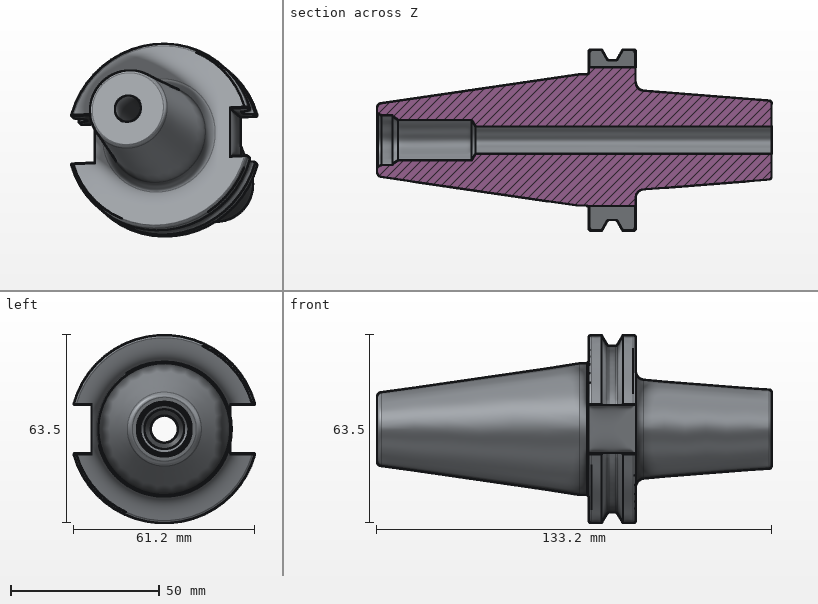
import cadquery as cq
import math

total_length = 133.2
gauge_plane = 68.4
flange_back = 87.4
flange_width = 16.0
flange_front = flange_back - flange_width

gauge_diameter = 44.5
taper_ratio = 7 / 24
taper_end_diameter = gauge_diameter - taper_ratio * gauge_plane
taper_end_round = 1.7

flange_diameter = 63.5
flange_rim_round = 0.9
flange_root_round = 0.5
groove_centre = 79.4
groove_floor_diameter = 56.4
groove_floor_width = 3.0
groove_corner_round = 0.8
groove_flank_angle = 30.0

slot_width = 16.3
slot_edge_chamfer = 0.4
slot_floor_plus_y = 24.7
slot_floor_minus_y = 22.3

nose_end_diameter = 26.6
nose_angle = 4.5
nose_end_round = 1.0
nose_root_round = 2.8

mouth_diameter = 18.5
mouth_chamfer = 0.4
mouth_depth = 1.6
pilot_diameter = 16.7
pilot_depth = 5.2
lead_in_diameter = 16.3
lead_in_angle = 35.0
drill_diameter = 13.5
drill_depth = 32.0
drill_tip_angle = 59.0
through_diameter = 9.0


def cone_length(large_diameter, small_diameter, half_angle):
    """Axial length of a cone between two diameters, with the angle taken from the axis."""
    return (large_diameter - small_diameter) / 2 / math.tan(math.radians(half_angle))


def revolve_profile(points):
    """Turn a list of (x, radius) points into a solid about the X axis."""
    closed = [(points[0][0], 0)] + points + [(points[-1][0], 0)]
    return cq.Workplane("XY").polyline(closed).close().revolve(360, (0, 0, 0), (1, 0, 0))


def make_taper():
    """Mounting taper with a rounded small end and a short straight collar against the flange."""
    taper = revolve_profile([
        (0, taper_end_diameter / 2),
        (gauge_plane, gauge_diameter / 2),
        (flange_front, gauge_diameter / 2),
    ])
    return taper.faces("<X").edges().fillet(taper_end_round)


def make_flange():
    """Flange with rounded rims and a V groove whose floor corners are rounded."""
    radius = flange_diameter / 2
    floor_radius = groove_floor_diameter / 2
    half_floor = groove_floor_width / 2
    half_mouth = half_floor + (radius - floor_radius) * math.tan(math.radians(groove_flank_angle))
    flange = revolve_profile([
        (flange_front, radius),
        (groove_centre - half_mouth, radius),
        (groove_centre - half_floor, floor_radius),
        (groove_centre + half_floor, floor_radius),
        (groove_centre + half_mouth, radius),
        (flange_back, radius),
    ])
    flange = flange.edges(cq.selectors.RadiusNthSelector(0)).fillet(groove_corner_round)
    return flange.faces("<X or >X").edges().fillet(flange_rim_round)


def make_nose():
    """Slender cone narrowing away from the flange, with a rounded end."""
    end_radius = nose_end_diameter / 2
    root_radius = end_radius + math.tan(math.radians(nose_angle)) * (total_length - flange_back)
    nose = revolve_profile([
        (flange_back, root_radius),
        (total_length, end_radius),
    ])
    return nose.faces(">X").edges().fillet(nose_end_round)


def round_root(body, x, radius):
    """Fillet the inside corner where a smaller round section meets the flange face at x."""
    reach = flange_diameter / 2 - 2 * flange_rim_round
    margin = 0.01
    low = (x - margin, -reach, -reach)
    high = (x + margin, reach, reach)
    corner = cq.selectors.BoxSelector(low, high, boundingbox=True)
    return body.edges(corner).fillet(radius)


def cut_drive_slot(body, floor, side):
    """Cut one slot across the flange; side is +1 for +Y and -1 for -Y."""
    reach = flange_diameter
    slot = cq.Workplane("XY").box(flange_width, reach, slot_width, centered=(False, True, True))
    return body.cut(slot.translate((flange_front, side * (floor + reach / 2), 0)))


def chamfer_slot_edges(body):
    """Break the slot edges on both flange faces; each chamfer runs on around the rim round."""
    return body.edges("|Y").chamfer(slot_edge_chamfer)


def make_bore():
    """Solid of the whole stepped bore, to be cut from the body."""
    lead_in_end = pilot_depth + cone_length(lead_in_diameter, drill_diameter, lead_in_angle)
    tip_end = drill_depth + cone_length(drill_diameter, through_diameter, drill_tip_angle)
    return revolve_profile([
        (0, mouth_diameter / 2),
        (mouth_chamfer, mouth_diameter / 2 - mouth_chamfer),
        (mouth_depth, pilot_diameter / 2),
        (pilot_depth, pilot_diameter / 2),
        (pilot_depth, lead_in_diameter / 2),
        (lead_in_end, drill_diameter / 2),
        (drill_depth, drill_diameter / 2),
        (tip_end, through_diameter / 2),
        (total_length, through_diameter / 2),
    ])


body = make_taper().union(make_flange()).union(make_nose())
body = round_root(body, flange_front, flange_root_round)
body = round_root(body, flange_back, nose_root_round)
body = cut_drive_slot(body, slot_floor_plus_y, 1)
body = cut_drive_slot(body, slot_floor_minus_y, -1)
body = chamfer_slot_edges(body)
result = body.cut(make_bore())